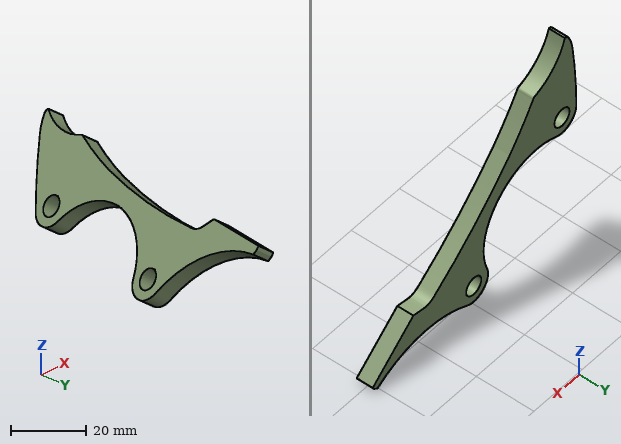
import cadquery as cq
import math

length = 84.65
height = 72.5
thickness = 5.6

boss_radius = 6.0
hole_radius = 3.1
upper_boss = (boss_radius, 42.8)
lower_boss = (42.7, 7.4)

bay_radius = 21.7
underside_radius = 36.4

upper_tip = (4.8, height)
upper_tip_corner = (3.9, 72.3)
upper_tip_back = (3.4, 71.7)
back_bend_mid = (2.3, 69.2)
back_bend = (1.6, 66.3)
back_mid = (0.4, 54.6)
neck_mid = (9.7, 64.5)
neck_end = (17.2, 60.1)
shoulder_mid = (17.7, 59.85)
shoulder_end = (18.0, 59.3)
steep_edge_mid = (22.4, 52.65)
steep_edge_end = (27.8, 45.7)
long_edge_mid = (42.0, 30.9)
long_edge_end = (58.7, 17.0)
notch_mid = (60.4, 15.9)
notch_end = (62.5, 15.4)
notch_floor_end = (63.5, 15.5)
notch_peak = (67.7, 16.2)
lower_tip = (length, 1.9)
lower_tip_corner = (84.0, 0.9)
lower_tip_bottom = (82.7, 0.0)


def circle_intersection(center_a, radius_a, center_b, radius_b):
    """Intersection of two circles, to the left of the direction from a to b."""
    dx = center_b[0] - center_a[0]
    dz = center_b[1] - center_a[1]
    distance = math.hypot(dx, dz)
    along = (distance**2 + radius_a**2 - radius_b**2) / (2 * distance)
    across = math.sqrt(radius_a**2 - along**2)
    return (
        center_a[0] + (along * dx - across * dz) / distance,
        center_a[1] + (along * dz + across * dx) / distance,
    )


def toward(center, target, distance):
    """Point at a distance from center in the direction of target."""
    span = math.dist(center, target)
    return tuple(c + (t - c) * distance / span for c, t in zip(center, target))


def arc_middle(center, start, end, radius):
    """Middle of the shorter arc from start to end around center."""
    chord_middle = ((start[0] + end[0]) / 2, (start[1] + end[1]) / 2)
    return toward(center, chord_middle, radius)


bay_reach = bay_radius + boss_radius
bay_center = circle_intersection(lower_boss, bay_reach, upper_boss, bay_reach)
bay_upper_end = toward(upper_boss, bay_center, boss_radius)
bay_lower_end = toward(lower_boss, bay_center, boss_radius)
bay_mid = arc_middle(bay_center, bay_upper_end, bay_lower_end, bay_radius)

underside_center = circle_intersection(
    lower_tip_bottom, underside_radius, lower_boss, underside_radius + boss_radius
)
underside_start = toward(lower_boss, underside_center, boss_radius)
underside_mid = arc_middle(underside_center, underside_start, lower_tip_bottom, underside_radius)

upper_boss_start = (0.0, upper_boss[1])
upper_boss_mid = arc_middle(upper_boss, upper_boss_start, bay_upper_end, boss_radius)
lower_boss_mid = arc_middle(lower_boss, bay_lower_end, underside_start, boss_radius)

outline = (
    cq.Workplane("XZ", origin=(0, thickness / 2, 0))
    .moveTo(*upper_tip)
    .threePointArc(neck_mid, neck_end)
    .threePointArc(shoulder_mid, shoulder_end)
    .threePointArc(steep_edge_mid, steep_edge_end)
    .threePointArc(long_edge_mid, long_edge_end)
    .threePointArc(notch_mid, notch_end)
    .lineTo(*notch_floor_end)
    .lineTo(*notch_peak)
    .lineTo(*lower_tip)
    .lineTo(*lower_tip_corner)
    .lineTo(*lower_tip_bottom)
    .threePointArc(underside_mid, underside_start)
    .threePointArc(lower_boss_mid, bay_lower_end)
    .threePointArc(bay_mid, bay_upper_end)
    .threePointArc(upper_boss_mid, upper_boss_start)
    .threePointArc(back_mid, back_bend)
    .threePointArc(back_bend_mid, upper_tip_back)
    .lineTo(*upper_tip_corner)
    .close()
)
plate = outline.extrude(thickness)

holes = (
    cq.Workplane("XZ", origin=(0, thickness / 2, 0))
    .pushPoints([upper_boss, lower_boss])
    .circle(hole_radius)
    .extrude(thickness)
)

result = plate.cut(holes)